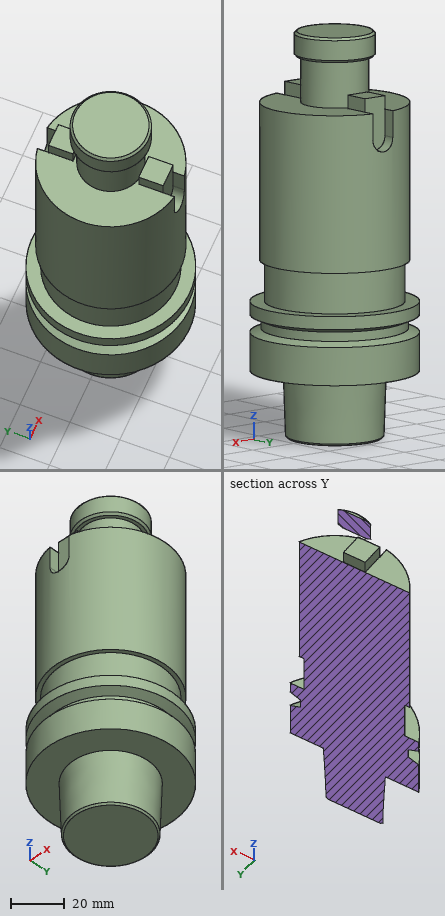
import cadquery as cq


taper_height = 25.3
taper_small_diameter = 36.7
taper_large_diameter = 38.4
taper_chamfer = 0.8

flange_diameter = 63.0
flange_top = 51.4
groove_diameter = 55.0
groove_lower_rim = 39.7
groove_floor_bottom = 41.3
groove_floor_top = 44.8
groove_upper_rim = 46.5

neck_diameter = 52.2
neck_top = 67.0
body_diameter = 55.9
body_top = 126.6
pilot_diameter = 25.3
pilot_top = 144.1

total_height = 153.5
head_diameter = 30.2
head_chamfer = 0.9

key_width = 9.7
key_inner_offset = 13.2
key_outer_offset = 23.0
key_top = 131.7
key_bottom = 111.7
key_sides = (-1, 1)
slot_overrun = 1.5


def key_shape(outer_offset, side):
    """Round-bottomed bar from the inner key face out to outer_offset, on the +Y or -Y side."""
    half_width = key_width / 2
    arc_center = key_bottom + half_width
    return (
        cq.Workplane("XZ", origin=(0, side * key_inner_offset, 0))
        .moveTo(-half_width, key_top)
        .lineTo(-half_width, arc_center)
        .threePointArc((0, key_bottom), (half_width, arc_center))
        .lineTo(half_width, key_top)
        .close()
        .extrude(-side * (outer_offset - key_inner_offset))
    )


def make_holder():
    """Turned holder with two key slots open to its top and outer side."""
    profile = [
        (0, 0),
        (taper_small_diameter / 2 - taper_chamfer, 0),
        (taper_small_diameter / 2, taper_chamfer),
        (taper_large_diameter / 2, taper_height),
        (flange_diameter / 2, taper_height),
        (flange_diameter / 2, groove_lower_rim),
        (groove_diameter / 2, groove_floor_bottom),
        (groove_diameter / 2, groove_floor_top),
        (flange_diameter / 2, groove_upper_rim),
        (flange_diameter / 2, flange_top),
        (neck_diameter / 2, flange_top),
        (neck_diameter / 2, neck_top),
        (body_diameter / 2, neck_top),
        (body_diameter / 2, body_top),
        (pilot_diameter / 2, body_top),
        (pilot_diameter / 2, pilot_top),
        (0, pilot_top),
    ]
    holder = cq.Workplane("XZ").polyline(profile).close().revolve(360, (0, 0), (0, 1))
    for side in key_sides:
        holder = holder.cut(key_shape(body_diameter / 2 + slot_overrun, side))
    return holder


def make_key(side):
    """Drive key filling the inner part of its slot and standing above the body."""
    return key_shape(key_outer_offset, side)


def make_screw_head():
    """Round lock screw head resting on the pilot, chamfered on both rims."""
    return (
        cq.Workplane("XY", origin=(0, 0, pilot_top))
        .circle(head_diameter / 2)
        .extrude(total_height - pilot_top)
        .edges()
        .chamfer(head_chamfer)
    )


holder = make_holder()
keys = [make_key(side) for side in key_sides]
screw_head = make_screw_head()

result = cq.Compound.makeCompound([holder.val(), *[key.val() for key in keys], screw_head.val()])